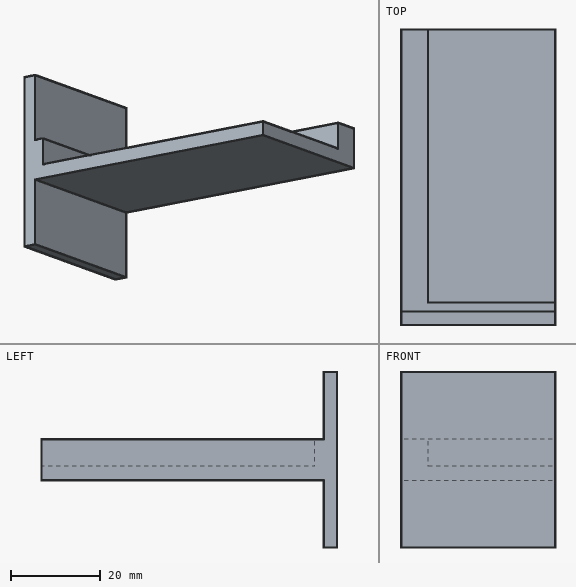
import cadquery as cq

width = 34.39
length = 65.99
plate_height = 39.2

plate_thickness = 3.0
arm_height = 9.2
arm_length = length - plate_thickness

side_rim_width = 6.0
front_rim_width = 2.1
step_depth = 6.0


def make_plate():
    """Upright plate with its front face on Y = 0."""
    return cq.Workplane("XY").box(width, plate_thickness, plate_height, centered=(True, False, True))


def make_arm():
    """Full-width arm, centred on the plate height."""
    return (
        cq.Workplane("XY")
        .box(width, arm_length, arm_height, centered=(True, False, True))
        .translate((0, plate_thickness, 0))
    )


def make_step():
    """Volume removed above the lowered floor, leaving an L-shaped rim."""
    return (
        cq.Workplane("XY")
        .box(width - side_rim_width, arm_length - front_rim_width, step_depth, centered=False)
        .translate((
            side_rim_width - width / 2,
            plate_thickness + front_rim_width,
            arm_height / 2 - step_depth,
        ))
    )


result = make_plate().union(make_arm()).cut(make_step())